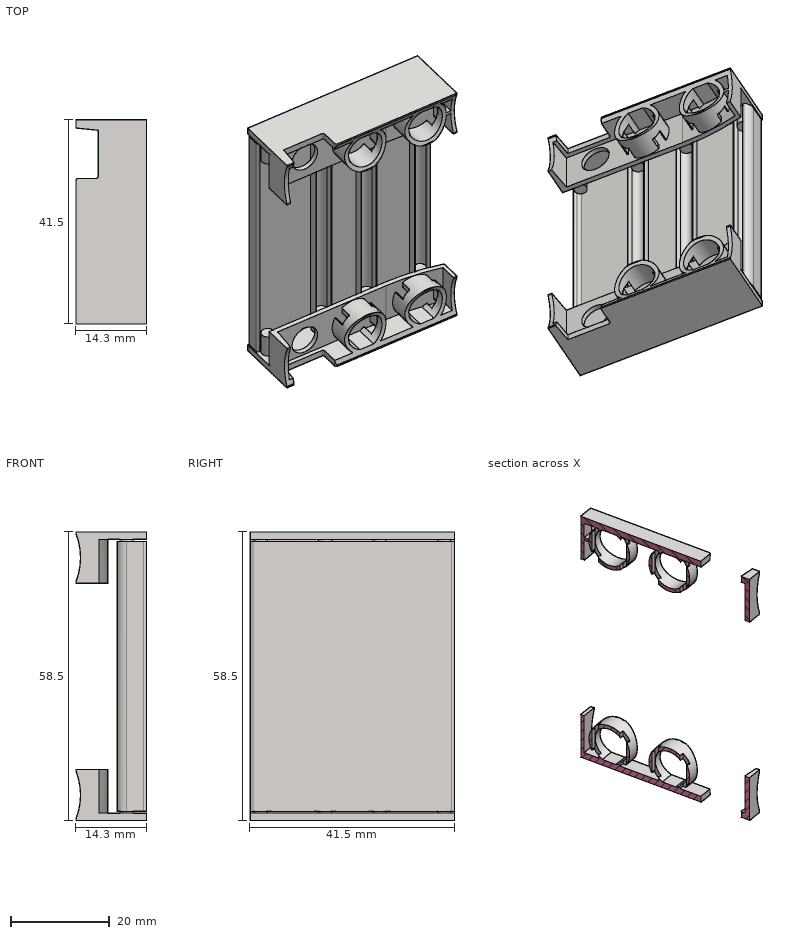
import cadquery as cq
import math

DEPTH = 14.31
WIDTH = 41.45
HEIGHT = 58.5
FRONT = -DEPTH
OVERSHOOT = 1.0

CAP_THICKNESS = 1.5
BRACKET_HEIGHT = 10.4
WEB_BACK = -7.85
WEB_THICKNESS = 1.05
WEB_FRONT = WEB_BACK - WEB_THICKNESS
WEB_BEND_START = 13.65
WEB_BEND_OFFSET = 1.8
WEB_BEND_RADIUS = (WEB_BEND_START**2 + WEB_BEND_OFFSET**2) / (2 * WEB_BEND_OFFSET)
SIDE_WALL = 0.88
TAPERED_WALL_AT_FRONT = 0.85
TAPERED_WALL_AT_WEB = 1.38
FRONT_HOLLOW = 0.9
FRONT_FLAT = 0.4

NOTCH_FLOOR = -9.84
NOTCH_LOW_Y = 29.52
NOTCH_HIGH_Y_AT_FRONT = WIDTH - 1.75
NOTCH_HIGH_Y_AT_FLOOR = WIDTH - 2.2
NOTCH_FILLET = 0.4

FEATURE_Z = 5.22
HOLE_Y = 33.45
HOLE_DIAMETER = 6.2
BOSS_YS = (7.02, 21.74)
BOSS_DIAMETER = 10.1
BOSS_BORE = 8.15
BOSS_SLOT_DEPTH = 2.75
STAVE_HALF_WIDTH_Y = 2.7
STAVE_HALF_WIDTH_Z = 2.45
STAVE_FLAT_Y = 4.2
RIB_THICKNESS = 0.7

PEG_DIAMETER = 2.7
PEG_LENGTH = 5.0

PLATE_END_GAP = 0.4
PLATE_FLOOR = -2.3
PLATE_BACK_FILLET = 0.65
CHANNEL_X = -4.07
CHANNEL_RADIUS = 2.15
CHANNEL_BORE = PEG_DIAMETER
CHANNEL_LIP_X = -5.0
CHANNEL_LIP_FLARE = 0.4
TALL_LIP_FILLET = 0.3
INNER_CHANNEL_OFFSET = 5.5
EDGE_LIP_REACH = 0.6
SIDE_RIM_X = -3.5
SIDE_RIM_ROUNDING = 0.38
SIDE_RIM_FILLET = 0.65

MIDDLE_Y = WIDTH / 2
LOW_EDGE_CHANNEL_Y = CHANNEL_RADIUS
HIGH_EDGE_CHANNEL_Y = WIDTH - CHANNEL_RADIUS
INNER_CHANNEL_YS = (MIDDLE_Y - INNER_CHANNEL_OFFSET, MIDDLE_Y + INNER_CHANNEL_OFFSET)
CHANNEL_YS = (LOW_EDGE_CHANNEL_Y, *INNER_CHANNEL_YS)
PEG_YS = (*CHANNEL_YS, HIGH_EDGE_CHANNEL_Y)


def box(x_range, y_range, z_range):
    """Box between the given limits."""
    size = [high - low for low, high in (x_range, y_range, z_range)]
    corner = (x_range[0], y_range[0], z_range[0])
    return cq.Workplane("XY").box(*size, centered=False).translate(corner)


def rod_along_x(y, diameter, x_start, x_end):
    """Cylinder along X at the height of the bracket's round features."""
    plane = cq.Workplane("YZ", origin=(x_start, y, FEATURE_Z))
    return plane.circle(diameter / 2).extrude(x_end - x_start)


def bend_point(y, radius):
    """Point at the given Y on the bent stretch of the web, on the face with this radius."""
    center_x = WEB_BACK - WEB_BEND_RADIUS
    reach = math.sqrt(radius**2 - (WEB_BEND_START - y) ** 2)
    return (center_x + reach, y)


def wall_outline():
    """Plan of the web and both side walls, filled to the front."""
    return (
        cq.Workplane("XY")
        .moveTo(FRONT, 0)
        .lineTo(*bend_point(0, WEB_BEND_RADIUS))
        .threePointArc(bend_point(WEB_BEND_START / 2, WEB_BEND_RADIUS), (WEB_BACK, WEB_BEND_START))
        .lineTo(WEB_BACK, WIDTH)
        .lineTo(FRONT, WIDTH)
        .close()
        .extrude(BRACKET_HEIGHT)
    )


def pocket():
    """Space in front of the web, between the side walls and above the cap."""
    radius = WEB_BEND_RADIUS - WEB_THICKNESS
    return (
        cq.Workplane("XY", origin=(0, 0, CAP_THICKNESS))
        .moveTo(FRONT, SIDE_WALL)
        .lineTo(*bend_point(SIDE_WALL, radius))
        .threePointArc(bend_point(WEB_BEND_START / 2, radius), (WEB_FRONT, WEB_BEND_START))
        .lineTo(WEB_FRONT, WIDTH - TAPERED_WALL_AT_WEB)
        .lineTo(FRONT, WIDTH - TAPERED_WALL_AT_FRONT)
        .close()
        .extrude(BRACKET_HEIGHT)
    )


def boss(y):
    """Tube whose root is parted into four staves by notches at its diagonals."""
    tube = rod_along_x(y, BOSS_DIAMETER, FRONT, WEB_BACK)
    tube = tube.cut(rod_along_x(y, BOSS_BORE, FRONT, WEB_BACK))
    root = (WEB_FRONT - BOSS_SLOT_DEPTH, WEB_BACK)
    for y_side in (-1, 1):
        for z_side in (-1, 1):
            near = (y + y_side * STAVE_HALF_WIDTH_Y, FEATURE_Z + z_side * STAVE_HALF_WIDTH_Z)
            far = (y + y_side * BOSS_DIAMETER, FEATURE_Z + z_side * BOSS_DIAMETER)
            y_range, z_range = (sorted(pair) for pair in zip(near, far))
            tube = tube.cut(box(root, y_range, z_range))
    stave_z = (FEATURE_Z - STAVE_HALF_WIDTH_Z, FEATURE_Z + STAVE_HALF_WIDTH_Z)
    return tube.cut(box(root, (y - STAVE_FLAT_Y, y + STAVE_FLAT_Y), stave_z))


def cap_notch():
    """Notch in the front edge of the cap beside the tapered wall."""
    notch = (
        cq.Workplane("XY")
        .moveTo(FRONT, NOTCH_LOW_Y)
        .lineTo(NOTCH_FLOOR, NOTCH_LOW_Y)
        .lineTo(NOTCH_FLOOR, NOTCH_HIGH_Y_AT_FLOOR)
        .lineTo(FRONT, NOTCH_HIGH_Y_AT_FRONT)
        .close()
        .extrude(CAP_THICKNESS)
    )
    return notch.edges("|Z and >X and <Y").fillet(NOTCH_FILLET)


def front_hollow():
    """Cylinder along Y that hollows the front of the bracket."""
    half_chord = BRACKET_HEIGHT / 2 - FRONT_FLAT
    radius = (half_chord**2 + FRONT_HOLLOW**2) / (2 * FRONT_HOLLOW)
    plane = cq.Workplane("XZ", origin=(FRONT + FRONT_HOLLOW - radius, 0, BRACKET_HEIGHT / 2))
    return plane.circle(radius).extrude(-WIDTH)


def bracket(has_rib):
    """Lower bracket; the rib joins the boss by the side wall to that wall."""
    space = pocket()
    for y in BOSS_YS:
        space = space.cut(boss(y))
    if has_rib:
        rib_y = (0, BOSS_YS[0] - (BOSS_DIAMETER + BOSS_BORE) / 4)
        rib_z = (FEATURE_Z - RIB_THICKNESS / 2, FEATURE_Z + RIB_THICKNESS / 2)
        space = space.cut(box((FRONT, WEB_BACK), rib_y, rib_z))
    body = wall_outline().union(box((FRONT, 0), (0, WIDTH), (0, CAP_THICKNESS)))
    body = body.cut(space).cut(cap_notch())
    notch_mouth = cq.selectors.NearestToPointSelector((FRONT, NOTCH_LOW_Y, CAP_THICKNESS / 2))
    body = body.edges("|Z").edges(notch_mouth).fillet(NOTCH_FILLET)
    body = body.cut(rod_along_x(HOLE_Y, HOLE_DIAMETER, FRONT, WEB_BACK + OVERSHOOT))
    body = body.cut(front_hollow())
    for y in PEG_YS:
        peg = cq.Workplane("XY", origin=(CHANNEL_X, y, 0)).circle(PEG_DIAMETER / 2)
        body = body.union(peg.extrude(CAP_THICKNESS + PEG_LENGTH))
    return body


def edge_along_z(x, y):
    """Selector of the plate's edge along Z at this place."""
    return cq.selectors.NearestToPointSelector((x, y, HEIGHT / 2))


def channel_block(y, z_range):
    """Round bar with a bore, the channel before its front is opened."""
    height = z_range[1] - z_range[0]
    plane = cq.Workplane("XY", origin=(CHANNEL_X, y, z_range[0]))
    body = plane.circle(CHANNEL_RADIUS).extrude(height)
    if y == LOW_EDGE_CHANNEL_Y:
        flank = box((CHANNEL_X, 0), (0, y), z_range)
        body = body.union(flank)
    return body.cut(plane.circle(CHANNEL_BORE / 2).extrude(height))


def low_lip(body, y, side, z_range):
    """Trim one side (+1 or -1 along Y) of a channel to a low lip that flares outward."""
    mouth_y = y + side * CHANNEL_BORE / 2
    flare_y = mouth_y + side * CHANNEL_LIP_FLARE
    outer_y = y + side * CHANNEL_RADIUS
    waste = (
        cq.Workplane("XY", origin=(0, 0, z_range[0]))
        .moveTo(CHANNEL_X, y)
        .lineTo(CHANNEL_X, mouth_y)
        .lineTo(CHANNEL_LIP_X, flare_y)
        .lineTo(CHANNEL_LIP_X, outer_y)
        .lineTo(FRONT, outer_y)
        .lineTo(FRONT, y)
        .close()
        .extrude(z_range[1] - z_range[0])
    )
    return body.cut(waste)


def tall_lip(body, y, z_range):
    """Leave a tall lip with a rounded tip on the -Y side of a channel."""
    lip_y = y - EDGE_LIP_REACH
    body = body.cut(box((FRONT, CHANNEL_X), (lip_y, y), z_range))
    tip_x = CHANNEL_X - math.sqrt(CHANNEL_RADIUS**2 - EDGE_LIP_REACH**2)
    return body.edges("|Z").edges(edge_along_z(tip_x, lip_y)).fillet(TALL_LIP_FILLET)


def channel(y, z_range):
    """Channel open to the front, with two low lips or, at the -Y side, one low and one tall."""
    body = low_lip(channel_block(y, z_range), y, 1, z_range)
    if y == LOW_EDGE_CHANNEL_Y:
        return tall_lip(body, y, z_range)
    return low_lip(body, y, -1, z_range)


def side_rim(z_range):
    """Floor of the plate with the rounded rim along its +Y side."""
    rim_y = HIGH_EDGE_CHANNEL_Y + PEG_DIAMETER / 2
    rim = box((SIDE_RIM_X, 0), (rim_y, WIDTH), z_range)
    rim = rim.edges("|Z and <X").fillet(SIDE_RIM_ROUNDING)
    body = rim.union(box((PLATE_FLOOR, 0), (0, WIDTH), z_range))
    return body.edges("|Z").edges(edge_along_z(PLATE_FLOOR, rim_y)).fillet(SIDE_RIM_FILLET)


def plate():
    """Extrusion with three open channels and a rim, standing between the two caps."""
    end_z = CAP_THICKNESS + PLATE_END_GAP
    z_range = (end_z, HEIGHT - end_z)
    body = side_rim(z_range)
    for y in CHANNEL_YS:
        body = body.union(channel(y, z_range))
    return body.edges("|Z and >X").fillet(PLATE_BACK_FILLET)


lower_bracket = bracket(has_rib=False)
upper_bracket = bracket(has_rib=True).mirror("XY").translate((0, 0, HEIGHT))
result = cq.Compound.makeCompound([lower_bracket.val(), upper_bracket.val(), plate().val()])